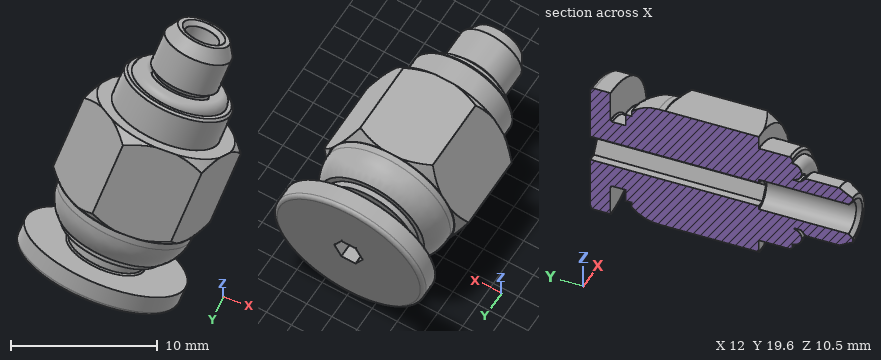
import cadquery as cq
import math

total_length = 19.6

thread_radius = 5.0 / 2
tip_cone_length = 1.0
tip_radius = thread_radius - tip_cone_length * math.tan(math.radians(30))
thread_end = 3.5
neck_radius = 4.2 / 2
neck_start = thread_end + thread_radius - neck_radius

seal_section_radius = 0.7
seal_centre_radius = neck_radius + seal_section_radius

body_start = 4.5
body_radius = 8.0 / 2
body_chamfer = 0.18
hex_start = 7.0
hex_end = 14.0
hex_across_flats = 10.0
hex_corner_diameter = hex_across_flats / math.cos(math.radians(30))
hex_face_radius = 5.05
hex_chamfer_length = 0.69

collar_radius = hex_across_flats / 2
dome_start = 14.48
dome_end = 16.5
dome_end_radius = 4.15

sleeve_step_radius = 7.5 / 2
sleeve_step_end = 16.97
sleeve_radius = 5.6 / 2
flange_start = 18.07
sleeve_flare = 0.12
flange_width = 12.0
flange_height = 10.5
flange_edge_radius = 0.3

bore_radius = 2.5 / 2
bore_mouth_radius = 1.57
bore_depth = hex_start
key_across_flats = 1.96


def xz_plane(y):
    """Plane at the given Y, with its normal toward +Y."""
    return cq.Workplane(cq.Plane(origin=(0, y, 0), xDir=(1, 0, 0), normal=(0, 1, 0)))


def revolve(profile):
    return profile.close().revolve(360, (0, 0, 0), (0, 1, 0))


def hexagon(start, length, corner_diameter):
    return xz_plane(start).polygon(6, corner_diameter).extrude(length)


def turned_body():
    """Stub, neck, cylindrical body, domed collar and sleeve as one turned profile."""
    profile = (
        cq.Workplane("XY")
        .moveTo(0, 0)
        .lineTo(tip_radius, 0)
        .lineTo(thread_radius, tip_cone_length)
        .lineTo(thread_radius, thread_end)
        .lineTo(neck_radius, neck_start)
        .lineTo(neck_radius, body_start)
        .lineTo(body_radius - body_chamfer, body_start)
        .lineTo(body_radius, body_start + body_chamfer)
        .lineTo(body_radius, hex_start)
        .lineTo(collar_radius, hex_start)
        .lineTo(collar_radius, dome_start)
        .tangentArcPoint((dome_end_radius, dome_end), relative=False)
        .lineTo(sleeve_step_radius, dome_end)
        .lineTo(sleeve_step_radius, sleeve_step_end)
        .lineTo(sleeve_radius, sleeve_step_end)
        .lineTo(sleeve_radius, flange_start - sleeve_flare)
        .lineTo(sleeve_radius + sleeve_flare, flange_start)
        .lineTo(0, flange_start)
    )
    return revolve(profile)


def seal_ring():
    profile = cq.Workplane("XY").center(seal_centre_radius, body_start).circle(seal_section_radius)
    return profile.revolve(360, (-seal_centre_radius, 0, 0), (-seal_centre_radius, 1, 0))


def hex_nut():
    """Hexagon with its corners turned down to a cone at both ends."""
    corner_radius = hex_corner_diameter / 2
    envelope = (
        cq.Workplane("XY")
        .moveTo(0, hex_start)
        .lineTo(hex_face_radius, hex_start)
        .lineTo(corner_radius, hex_start + hex_chamfer_length)
        .lineTo(corner_radius, hex_end - hex_chamfer_length)
        .lineTo(hex_face_radius, hex_end)
        .lineTo(0, hex_end)
    )
    return hexagon(hex_start, hex_end - hex_start, hex_corner_diameter).intersect(revolve(envelope))


def release_flange():
    disc = (
        xz_plane(flange_start)
        .ellipse(flange_width / 2, flange_height / 2)
        .extrude(total_length - flange_start)
    )
    return disc.faces(">Y").edges().fillet(flange_edge_radius)


def passage():
    """Chamfered round bore from the tip, then a hexagonal key socket through to the flange."""
    mouth_depth = bore_mouth_radius - bore_radius
    bore = revolve(
        cq.Workplane("XY")
        .moveTo(0, 0)
        .lineTo(bore_mouth_radius, 0)
        .lineTo(bore_radius, mouth_depth)
        .lineTo(bore_radius, bore_depth)
        .lineTo(0, bore_depth)
    )
    key_corner_diameter = key_across_flats / math.cos(math.radians(30))
    return bore.union(hexagon(0, total_length, key_corner_diameter))


result = turned_body().union(seal_ring()).union(hex_nut()).union(release_flange()).cut(passage())